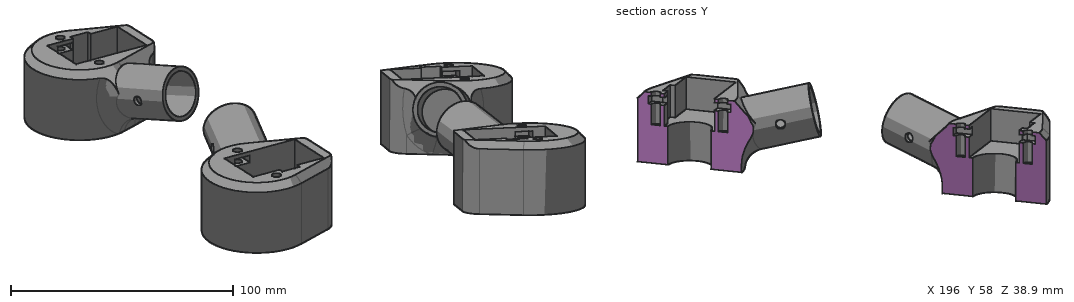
import cadquery as cq
import math

span = 196.0
height = 33.3
barrel_diameter = 50.0
depth = 58.0
side_angle = 20.0
corner_radius = 9.0
rim_chamfer = 3.3

pocket_width = 24.0
pocket_length = 37.8
pocket_depth = 15.0
pocket_front = -9.8
notch_depth = 2.4
notch_length = 9.5
notch_front = 4.3
cable_hole_diameter = 20.5

screw_diameter = 4.1
screw_offset = 16.0
slot_width = 8.0
slot_thickness = 3.5
slot_ceiling = 2.0
slot_reach = 3.5

tube_diameter = 24.7
bore_diameter = 20.5
bore_depth = 27.5
tube_length = 43.1
tube_turn = 17.5
tube_rise = 13.3
tube_end_x = 52.7
tube_end_y = 19.8
tube_end_z = 26.9
blend_radius = 9.8
seam_angle = 60.0
pin_hole_diameter = 4.3
pin_hole_setback = 15.3

barrel_radius = barrel_diameter / 2
back = depth - barrel_radius
pocket_floor = height - pocket_depth
barrel_x = span / 2 - barrel_radius
turn = math.radians(tube_turn)
rise = math.radians(tube_rise)
tube_end = cq.Vector(tube_end_x, tube_end_y, tube_end_z)
tube_axis = cq.Vector(
    math.cos(rise) * math.cos(turn),
    math.cos(rise) * math.sin(turn),
    math.sin(rise),
)


def teardrop(radius):
    """Outline with a round front and two tangent flanks up to the flat back."""
    lean = math.radians(side_angle)
    touch_x = radius * math.cos(lean)
    touch_y = radius * math.sin(lean)
    back_x = (radius - back * math.sin(lean)) / math.cos(lean)
    return (
        cq.Workplane("XY")
        .moveTo(back_x, back)
        .lineTo(touch_x, touch_y)
        .threePointArc((0, -radius), (-touch_x, touch_y))
        .lineTo(-back_x, back)
        .close()
    )


def tube_rod(diameter, length):
    """Cylinder that runs from the open tube end back towards the housing."""
    upward = cq.Vector(0, 0, 1)
    plane = cq.Plane(tube_end, upward - tube_axis * tube_axis.z, tube_axis * -1)
    plane = plane.rotated((0, 0, seam_angle))
    return cq.Workplane(plane).circle(diameter / 2).extrude(length)


def blended_blank():
    """Housing, taller than needed so the tube joins one plain wall, with the joint rounded."""
    blank_height = 2 * height
    joint_margin = corner_radius / 2
    blank = teardrop(barrel_radius).extrude(blank_height)
    blank = blank.edges("|Z and >Y").fillet(corner_radius)
    blank = blank.union(tube_rod(tube_diameter, tube_length))
    joint_region = cq.selectors.BoxSelector(
        (pocket_width / 2, -barrel_radius, joint_margin),
        (tube_end_x - tube_diameter / 2, back, blank_height - joint_margin),
        boundingbox=True,
    )
    joint = blank.edges(joint_region).edges("not |Z")
    return joint.fillet(blend_radius)


def rim_envelope():
    """45 degree slope that starts at the top rim and continues down and outwards."""
    rim = teardrop(barrel_radius - rim_chamfer)
    return rim.extrude(-height, taper=-45).translate((0, 0, height))


def pocket():
    low = (True, False, False)
    main = cq.Workplane("XY").box(pocket_width, pocket_length, pocket_depth, centered=low)
    main = main.translate((0, pocket_front, pocket_floor))
    notch = cq.Workplane("XY").box(notch_depth, notch_length, pocket_depth, centered=False)
    notch = notch.translate((-pocket_width / 2 - notch_depth, notch_front, pocket_floor))
    return main.union(notch)


def cable_hole():
    return cq.Workplane("XY").circle(cable_hole_diameter / 2).extrude(pocket_floor)


def screw_holes():
    """Both blind holes; they are as deep as the pocket."""
    places = [(-screw_offset, 0), (screw_offset, 0)]
    return (
        cq.Workplane("XY")
        .workplane(offset=pocket_floor)
        .pushPoints(places)
        .circle(screw_diameter / 2)
        .extrude(pocket_depth)
    )


def nut_slots():
    """One bar across the pocket makes the slots in both side walls."""
    bar_length = 2 * (screw_offset + slot_reach)
    bar = cq.Workplane("XY").box(bar_length, slot_width, slot_thickness)
    return bar.translate((0, 0, height - slot_ceiling - slot_thickness / 2))


def pin_hole():
    """Level hole through the front wall of the tube, square to the tube axis."""
    start = tube_end - tube_axis * pin_hole_setback
    direction = cq.Vector(math.sin(turn), -math.cos(turn), 0)
    drill = cq.Solid.makeCylinder(pin_hole_diameter / 2, tube_diameter, start, direction)
    return cq.Workplane(obj=drill)


def housing():
    """Housing with its barrel axis at X = Y = 0 and its tube towards +X."""
    body = blended_blank().intersect(rim_envelope())
    body = body.union(tube_rod(tube_diameter, tube_length))
    body = body.cut(pocket()).cut(cable_hole())
    body = body.cut(screw_holes()).cut(nut_slots())
    return body.cut(tube_rod(bore_diameter, bore_depth)).cut(pin_hole())


left_housing = housing().translate((-barrel_x, 0, 0))
right_housing = left_housing.mirror("YZ")

result = cq.Compound.makeCompound([left_housing.val(), right_housing.val()])